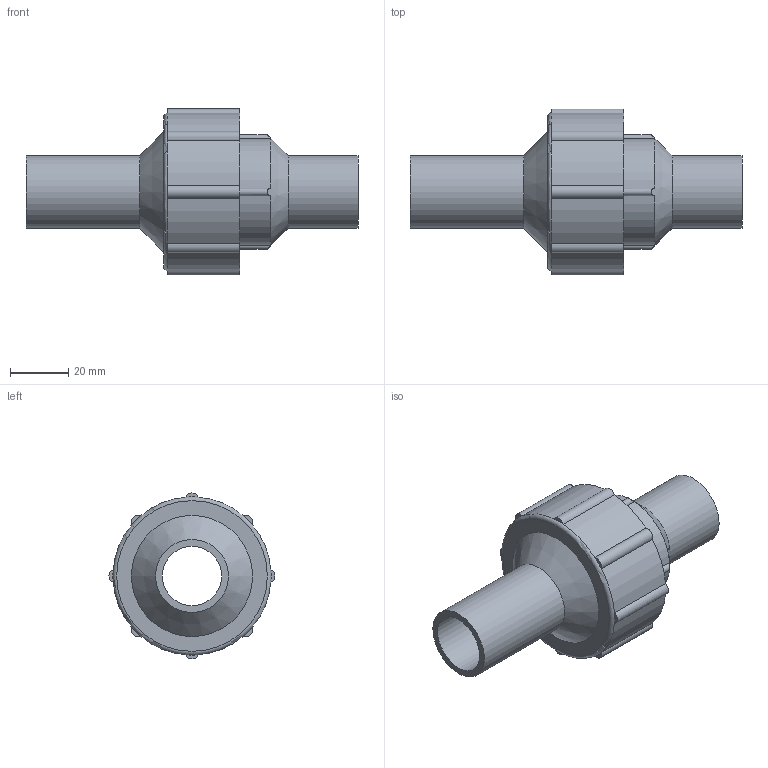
import cadquery as cq


pipe_radius = 25.0 / 2
bore_radius = 20.4 / 2

total_length = 114.0
front_cone_start = 39.0
nut_start = 47.3
nut_end = 73.4
collar_end = 84.1

front_cone_radius = pipe_radius + (nut_start - front_cone_start)
collar_radius = 18.4
rear_cone_end = collar_end + (collar_radius - pipe_radius)

nut_radius = 27.15
nut_edge_round = 1.3

grip_rib_count = 8
grip_rib_radius = 2.4
grip_rib_tip_radius = 28.5
grip_rib_start = nut_start + nut_edge_round

collar_rib_count = 4
collar_rib_radius = 1.3


def cylinder(radius, start, end):
    """Cylinder on the X axis from one station to another."""
    return cq.Workplane("YZ", origin=(start, 0, 0)).circle(radius).extrude(end - start)


def turned(profile):
    """Solid of revolution about the X axis from a closed profile of (x, radius) points."""
    return cq.Workplane("XY").polyline(profile).close().revolve(360, (0, 0, 0), (1, 0, 0))


def bars_around_axis(count, bar_radius, centre_radius, start, end):
    """Round bars parallel to X, evenly spaced around it with the first on +Y."""
    return (
        cq.Workplane("YZ", origin=(start, 0, 0))
        .polarArray(centre_radius, 0, 360, count)
        .circle(bar_radius)
        .extrude(end - start)
    )


def make_body():
    """Both pipe ends, both cones and the plain collar, before boring."""
    profile = [
        (0, 0),
        (0, pipe_radius),
        (front_cone_start, pipe_radius),
        (nut_start, front_cone_radius),
        (nut_end, collar_radius),
        (collar_end, collar_radius),
        (rear_cone_end, pipe_radius),
        (total_length, pipe_radius),
        (total_length, 0),
    ]
    return turned(profile)


def make_nut():
    """Nut with a rounded front edge and grip ribs that start behind the rounding."""
    nut = cylinder(nut_radius, nut_start, nut_end).faces("<X").edges().fillet(nut_edge_round)
    rib_centre_radius = grip_rib_tip_radius - grip_rib_radius
    ribs = bars_around_axis(grip_rib_count, grip_rib_radius, rib_centre_radius, grip_rib_start, nut_end)
    return nut.union(ribs)


def make_collar_ribs():
    """Collar ribs, with their free ends trimmed to the slope of the rear cone."""
    ribs = bars_around_axis(collar_rib_count, collar_rib_radius, collar_radius, nut_end, collar_end)
    cone_radius_at_nut = collar_radius + (collar_end - nut_end)
    trim_profile = [
        (nut_end, 0),
        (nut_end, cone_radius_at_nut),
        (collar_end, collar_radius),
        (collar_end, 0),
    ]
    return ribs.intersect(turned(trim_profile))


bore = cylinder(bore_radius, 0, total_length)
result = make_body().union(make_nut()).union(make_collar_ribs()).cut(bore)